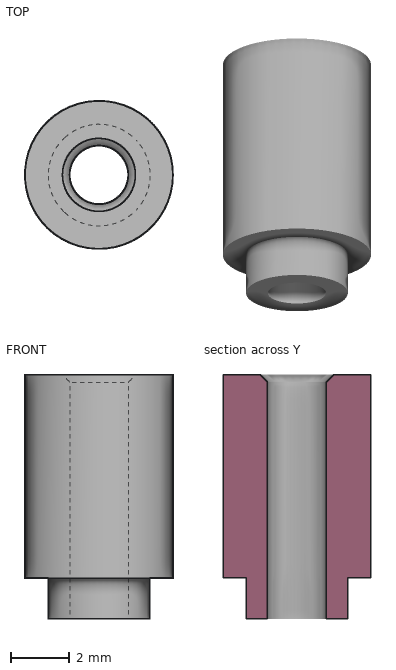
import cadquery as cq

total_height = 8.4
body_diameter = 5.1
spigot_diameter = 3.5
spigot_height = 1.4
bore_diameter = 2.01
bore_chamfer = 0.25

body_height = total_height - spigot_height

spigot = cq.Workplane("XY").circle(spigot_diameter / 2).extrude(spigot_height)
stepped_sleeve = spigot.faces(">Z").workplane().circle(body_diameter / 2).extrude(body_height)

bored_sleeve = stepped_sleeve.faces(">Z").workplane().hole(bore_diameter)

bore_rim = cq.selectors.RadiusNthSelector(0)
result = bored_sleeve.faces(">Z").edges(bore_rim).chamfer(bore_chamfer)